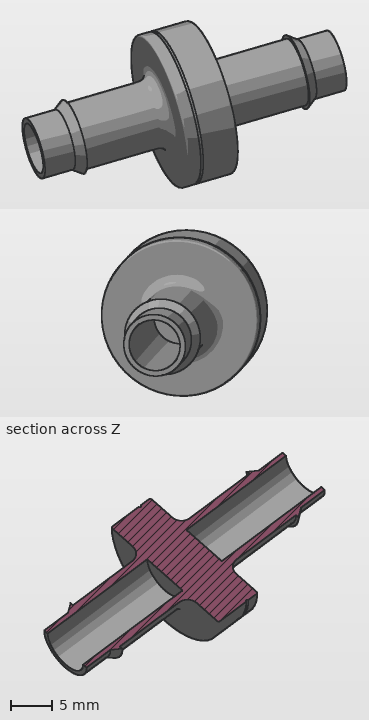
import cadquery as cq

length = 39.37
flange_diameter = 19.37
flange_thickness = 6.55
flange_edge_radius = 0.25

groove_position = -1.5
groove_radius = 0.15

tip_diameter = 7.65
tip_length = 3.95
barb_diameter = 9.37
barb_length = 1.22
stem_diameter = 8.45
root_fillet = 1.55

bore_diameter = 6.3
web_thickness = flange_thickness

half_length = length / 2
flange_radius = flange_diameter / 2
flange_face = flange_thickness / 2
barb_start = half_length - tip_length
barb_back = barb_start - barb_length


def revolve_about_y(profile):
    return profile.close().revolve(360, (0, 0, 0), (0, 1, 0))


def make_flange():
    """Round-edged disc with a half-round groove in its rim."""
    profile = (
        cq.Workplane("XY")
        .moveTo(0, -flange_face)
        .lineTo(flange_radius - flange_edge_radius, -flange_face)
        .radiusArc((flange_radius, -flange_face + flange_edge_radius), -flange_edge_radius)
        .lineTo(flange_radius, groove_position - groove_radius)
        .threePointArc(
            (flange_radius - groove_radius, groove_position),
            (flange_radius, groove_position + groove_radius),
        )
        .lineTo(flange_radius, flange_face - flange_edge_radius)
        .radiusArc((flange_radius - flange_edge_radius, flange_face), -flange_edge_radius)
        .lineTo(0, flange_face)
    )
    return revolve_about_y(profile)


def make_stem():
    """Barbed stem on the +Y side, flared into the flange by a root fillet."""
    stem_radius = stem_diameter / 2
    profile = (
        cq.Workplane("XY")
        .moveTo(0, 0)
        .lineTo(stem_radius + root_fillet, 0)
        .lineTo(stem_radius + root_fillet, flange_face)
        .radiusArc((stem_radius, flange_face + root_fillet), root_fillet)
        .lineTo(stem_radius, barb_back)
        .lineTo(barb_diameter / 2, barb_back)
        .lineTo(tip_diameter / 2, barb_start)
        .lineTo(tip_diameter / 2, half_length)
        .lineTo(0, half_length)
    )
    return revolve_about_y(profile)


def make_bore():
    """Blind bore entering from the +Y end."""
    profile = (
        cq.Workplane("XY")
        .moveTo(0, web_thickness / 2)
        .lineTo(bore_diameter / 2, web_thickness / 2)
        .lineTo(bore_diameter / 2, half_length)
        .lineTo(0, half_length)
    )
    return revolve_about_y(profile)


stem = make_stem()
bore = make_bore()
result = make_flange().union(stem).union(stem.mirror("XZ"))
result = result.cut(bore).cut(bore.mirror("XZ"))